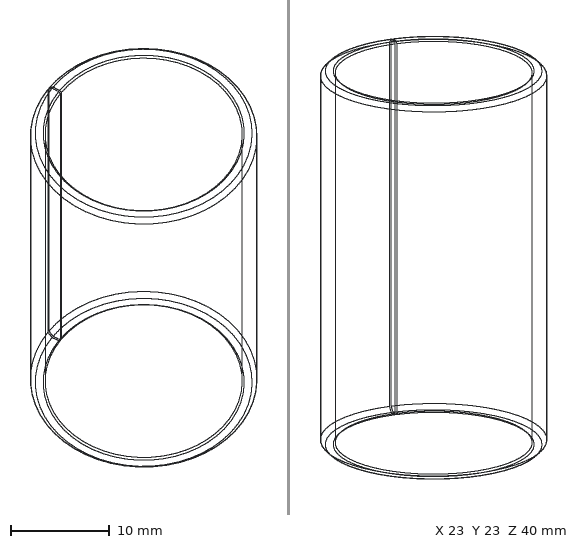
import cadquery as cq

outer_diameter = 23.0
inner_diameter = 20.0
length = 40.0

outer_chamfer = 0.5
inner_chamfer = 0.2

full_turn = 360.0
joint_gap_angle = 1.0


def wall_section():
    """Chamfered wall section in the XZ plane, on the -X side of the axis."""
    outer_radius = outer_diameter / 2
    inner_radius = inner_diameter / 2
    end = length / 2
    points = [
        (-inner_radius - inner_chamfer, -end),
        (-outer_radius + outer_chamfer, -end),
        (-outer_radius, -end + outer_chamfer),
        (-outer_radius, end - outer_chamfer),
        (-outer_radius + outer_chamfer, end),
        (-inner_radius - inner_chamfer, end),
        (-inner_radius, end - inner_chamfer),
        (-inner_radius, -end + inner_chamfer),
    ]
    return cq.Workplane("XZ").polyline(points).close()


def split_bushing():
    """Sweep the section around Z, stopping short of a full turn to leave the joint gap."""
    axis_start = (0, 0)
    axis_end = (0, 1)
    return wall_section().revolve(full_turn - joint_gap_angle, axis_start, axis_end)


result = split_bushing()